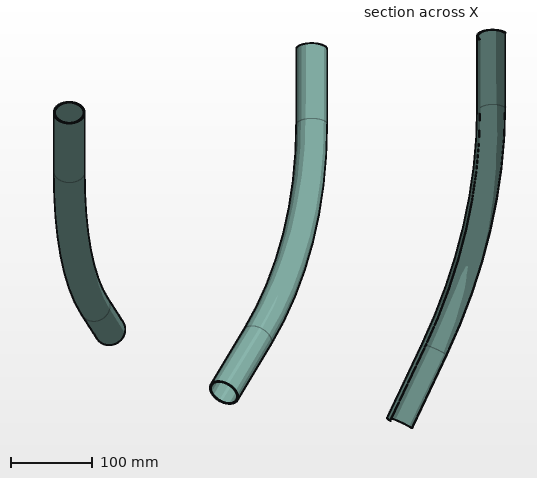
import cadquery as cq
import math

height = 504.0
outer_diameter = 38.5
inner_diameter = 35.0
straight_length = 101.0
bend_angle = 30.0

sine = math.sin(math.radians(bend_angle))
cosine = math.cos(math.radians(bend_angle))
legs_height = straight_length * (1 + cosine)
end_face_drop = outer_diameter / 2 * sine
bend_radius = (height - legs_height - end_face_drop) / sine


def bend_point(angle):
    """Centerline point (y, z) at an angle in degrees from the start of the bend."""
    turn = math.radians(angle)
    y = bend_radius * (1 - math.cos(turn))
    z = -straight_length - bend_radius * math.sin(turn)
    return y, z


bend_end_y, bend_end_z = bend_point(bend_angle)
lower_end = (bend_end_y + straight_length * sine, bend_end_z - straight_length * cosine)
centerline = (
    cq.Workplane("YZ")
    .moveTo(0, 0)
    .lineTo(*bend_point(0))
    .threePointArc(bend_point(bend_angle / 2), (bend_end_y, bend_end_z))
    .lineTo(*lower_end)
)

result = (
    cq.Workplane("XY")
    .circle(outer_diameter / 2)
    .circle(inner_diameter / 2)
    .sweep(centerline)
)